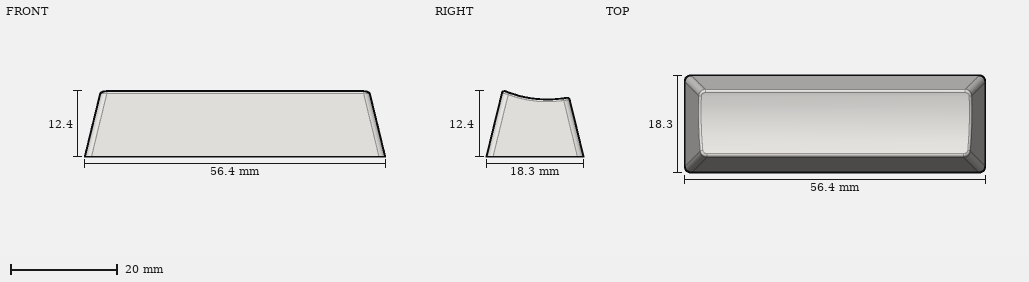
import cadquery as cq

length = 56.4
width = 18.3
draft_angle = 13.7
blank_height = 14.65

dish_radius = 20.3
dish_low_y = 2.25
dish_low_z = 10.8

corner_radius = 1.25
rim_radius = 0.5


def tapered_body():
    """Rectangular block with all four walls leaning inwards."""
    return cq.Workplane("XY").rect(length, width).extrude(blank_height, taper=draft_angle)


def dish_cutter():
    """Cylinder along X that hollows the top and removes the excess height."""
    return (
        cq.Workplane("YZ")
        .center(dish_low_y, dish_low_z + dish_radius)
        .circle(dish_radius)
        .extrude(length / 2, both=True)
    )


def round_slanted_corners(body):
    """Fillet the four leaning corner edges, whose centres lie near mid-height."""
    low_z = dish_low_z / 4
    high_z = dish_low_z * 3 / 4
    mid_height_band = cq.selectors.BoxSelector((-length, -width, low_z), (length, width, high_z))
    return body.edges(mid_height_band).fillet(corner_radius)


def round_dish_rim(body):
    """Fillet the closed rim where the dish meets the walls and corners."""
    dish_bottom = cq.selectors.NearestToPointSelector((0, dish_low_y, dish_low_z))
    return body.faces("%CYLINDER").faces(dish_bottom).edges().fillet(rim_radius)


dished_body = tapered_body().cut(dish_cutter())
result = round_dish_rim(round_slanted_corners(dished_body))